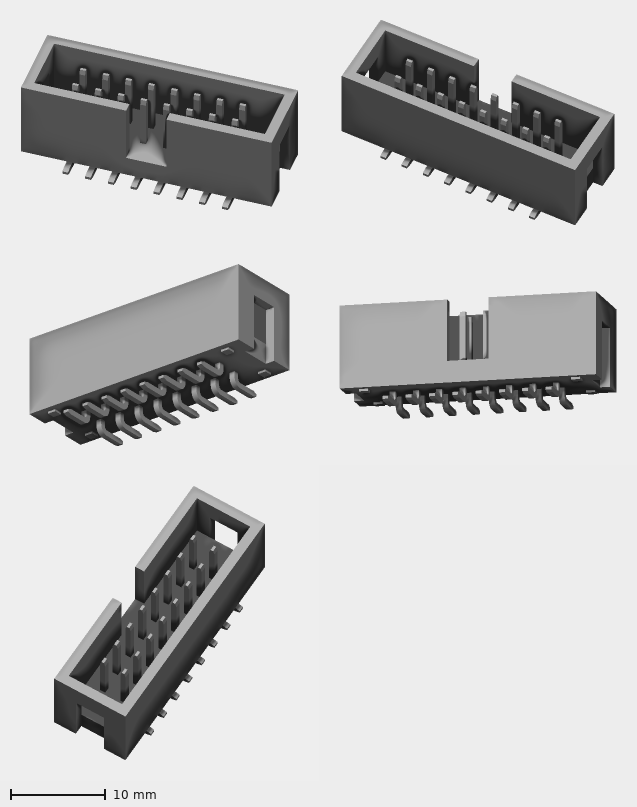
import cadquery as cq

BODY_LENGTH = 27.95
BODY_WIDTH = 8.85
BODY_HEIGHT = 9.0
WALL = 1.12
FLOOR_HEIGHT = 2.35

NOTCH_WIDTH = 4.5

END_SLOT_WIDTH = 3.5
END_SLOT_HEIGHT = 6.4

STANDOFF_SIZE = 0.98
STANDOFF_HEIGHT = 0.25
STANDOFF_INSET_X = 2.4
STANDOFF_INSET_Y = 1.23

PINS_PER_ROW = 8
PITCH = 2.55
PIN_SIZE = 0.65
PIN_ROWS_Y = -0.08
PIN_TOP_GAP = 0.73
PIN_BOTTOM = -1.65
PIN_REACH = 4.75
BEND_INNER_RADIUS = 0.4
TIP_LENGTH = 0.53
TIP_INSET = 0.17


def make_housing():
    """Box with a cavity, a front notch and a slot in each end wall."""
    body = cq.Workplane("XY").box(BODY_LENGTH, BODY_WIDTH, BODY_HEIGHT, centered=(True, True, False))
    cavity_height = BODY_HEIGHT - FLOOR_HEIGHT
    above_floor = cq.Workplane("XY", origin=(0, 0, FLOOR_HEIGHT))
    cavity = above_floor.rect(BODY_LENGTH - 2 * WALL, BODY_WIDTH - 2 * WALL).extrude(cavity_height)
    notch = above_floor.center(0, (WALL - BODY_WIDTH) / 2).rect(NOTCH_WIDTH, WALL).extrude(cavity_height)
    body = body.cut(cavity).cut(notch)

    slot_x = (BODY_LENGTH - WALL) / 2
    end_slots = (
        cq.Workplane("XY")
        .pushPoints([(-slot_x, 0), (slot_x, 0)])
        .rect(WALL, END_SLOT_WIDTH)
        .extrude(END_SLOT_HEIGHT)
    )
    return body.cut(end_slots)


def make_standoffs():
    """Four square pads below the underside."""
    return (
        cq.Workplane("XY")
        .rect(BODY_LENGTH - 2 * STANDOFF_INSET_X, BODY_WIDTH - 2 * STANDOFF_INSET_Y, forConstruction=True)
        .vertices()
        .rect(STANDOFF_SIZE, STANDOFF_SIZE)
        .extrude(-STANDOFF_HEIGHT)
    )


def make_pin(x, side):
    """One contact at x in the row on the given side (+1 or -1) of the row centreline."""
    inner = (PITCH - PIN_SIZE) / 2
    outer = inner + PIN_SIZE
    top = BODY_HEIGHT - PIN_TOP_GAP
    leg_top = PIN_BOTTOM + PIN_SIZE
    bend_outer_radius = BEND_INNER_RADIUS + PIN_SIZE
    bend_y = outer + BEND_INNER_RADIUS
    bend_z = leg_top + BEND_INNER_RADIUS

    pin = (
        cq.Workplane("YZ")
        .moveTo(inner, top - TIP_LENGTH)
        .lineTo(inner + TIP_INSET, top)
        .lineTo(outer - TIP_INSET, top)
        .lineTo(outer, top - TIP_LENGTH)
        .lineTo(outer, bend_z)
        .radiusArc((bend_y, leg_top), -BEND_INNER_RADIUS)
        .lineTo(PIN_REACH - TIP_LENGTH, leg_top)
        .lineTo(PIN_REACH, leg_top - TIP_INSET)
        .lineTo(PIN_REACH, PIN_BOTTOM + TIP_INSET)
        .lineTo(PIN_REACH - TIP_LENGTH, PIN_BOTTOM)
        .lineTo(bend_y, PIN_BOTTOM)
        .radiusArc((inner, bend_z), bend_outer_radius)
        .close()
        .extrude(PIN_SIZE / 2, both=True)
    )
    if side < 0:
        pin = pin.mirror("XZ")
    return pin.translate((x, PIN_ROWS_Y, 0))


result = make_housing().union(make_standoffs())
for column in range(PINS_PER_ROW):
    pin_x = (column - (PINS_PER_ROW - 1) / 2) * PITCH
    for row_side in (-1, 1):
        result = result.union(make_pin(pin_x, row_side))